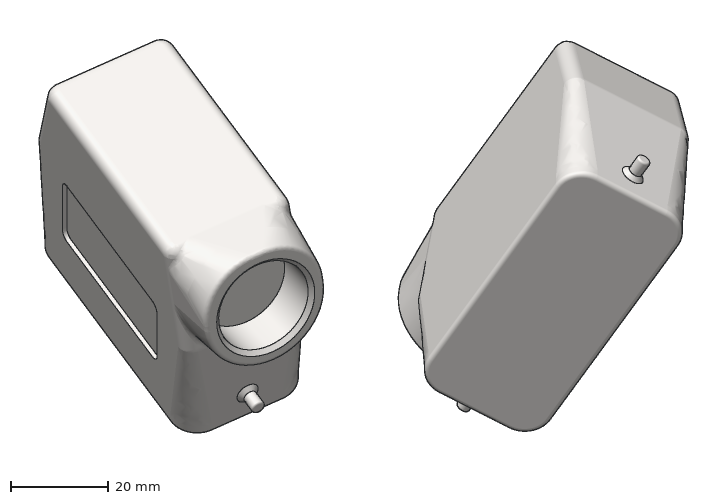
import cadquery as cq
import math

BODY_LENGTH = 62.75
BODY_WIDTH = 29.3
BODY_HEIGHT = 53.7
LEFT_SHOULDER_Z = 33.6
LEFT_SLOPE = 11.7
RIGHT_SHOULDER_Z = 28.3
RIGHT_SLOPE = 15.0
SHOULDER_RADIUS = 3.9
CORNER_RADIUS = 3.0
FOOT_CORNER_RADIUS = 6.25
FOOT_HEIGHT = 2.65
TOP_RADIUS = 2.5
BOTTOM_RADIUS = 1.0

POCKET_LENGTH = 38.95
POCKET_HEIGHT = 18.0
POCKET_CENTRE_Z = 22.6
POCKET_DEPTH = 1.0
POCKET_CORNER_RADIUS = 1.95

MOUTH_RADIUS = 13.9
MOUTH_OFFSET = 11.0
MOUTH_ALONG_SLOPE = 12.3
MOUTH_FLAT = 0.85
MOUTH_EDGE_RADIUS = 1.0
ENTRY_DRAFT = 2.5
ENTRY_SINK = 3.1
ENTRY_ROOT_CORNER = 5.5
ENTRY_BLEND_RADIUS = 1.6
SEAM_TOLERANCE = 0.001
SEAM_SAMPLES = (0.1, 0.5, 0.9)
BORE_RADIUS = 10.5
BORE_CHAMFER = 1.0

PIN_RADIUS = 1.5
PIN_TIP_X = 36.0
PIN_Z = 7.4
PIN_TIP_RADIUS = 0.5
PIN_COLLAR = 1.0

HALF_LENGTH = BODY_LENGTH / 2
HALF_WIDTH = BODY_WIDTH / 2


def corner_cutter(x_side, y_side, shoulder_z):
    """Material outside one upright corner, from the underside up to the shoulder."""

    def region(z, radius):
        x = x_side * HALF_LENGTH
        y = y_side * HALF_WIDTH
        inner_x = x - x_side * radius
        inner_y = y - y_side * radius
        bend = radius * (1 - math.sqrt(0.5))
        return (
            cq.Workplane("XY", origin=(0, 0, z))
            .moveTo(x, inner_y)
            .threePointArc((x - x_side * bend, y - y_side * bend), (inner_x, y))
            .lineTo(x, y)
            .close()
        )

    foot = region(0, FOOT_CORNER_RADIUS).extrude(FOOT_HEIGHT)
    wide_end = region(FOOT_HEIGHT, FOOT_CORNER_RADIUS).val()
    narrow_end = region(shoulder_z, CORNER_RADIUS).val()
    taper = cq.Workplane(cq.Solid.makeLoft([wide_end, narrow_end], True))
    return foot.union(taper)


def body():
    """Block with sloped ends, rounded edges and corners that widen towards the foot."""
    top_left = -HALF_LENGTH + (BODY_HEIGHT - LEFT_SHOULDER_Z) * math.tan(math.radians(LEFT_SLOPE))
    top_right = HALF_LENGTH - (BODY_HEIGHT - RIGHT_SHOULDER_Z) * math.tan(math.radians(RIGHT_SLOPE))
    block = (
        cq.Workplane("XZ", origin=(0, HALF_WIDTH, 0))
        .polyline([
            (-HALF_LENGTH, 0),
            (HALF_LENGTH, 0),
            (HALF_LENGTH, RIGHT_SHOULDER_Z),
            (top_right, BODY_HEIGHT),
            (top_left, BODY_HEIGHT),
            (-HALF_LENGTH, LEFT_SHOULDER_Z),
        ])
        .close()
        .extrude(BODY_WIDTH)
    )
    for x, z in ((-HALF_LENGTH, LEFT_SHOULDER_Z), (HALF_LENGTH, RIGHT_SHOULDER_Z)):
        block = block.edges(cq.selectors.NearestToPointSelector((x, 0, z))).fillet(SHOULDER_RADIUS)
    block = block.faces("<Y or >Y").edges("not |X").fillet(CORNER_RADIUS)
    block = block.faces(">Z").edges().fillet(TOP_RADIUS)
    for y_side in (-1, 1):
        block = block.cut(corner_cutter(-1, y_side, LEFT_SHOULDER_Z))
        block = block.cut(corner_cutter(1, y_side, RIGHT_SHOULDER_Z))
    return block.faces("<Z").edges().fillet(BOTTOM_RADIUS)


ENTRY_TILT = math.radians(RIGHT_SLOPE)
OUTWARD = (math.cos(ENTRY_TILT), 0, math.sin(ENTRY_TILT))
MOUTH_CENTRE = (
    HALF_LENGTH + MOUTH_OFFSET * math.cos(ENTRY_TILT) - MOUTH_ALONG_SLOPE * math.sin(ENTRY_TILT),
    0,
    RIGHT_SHOULDER_Z + MOUTH_OFFSET * math.sin(ENTRY_TILT) + MOUTH_ALONG_SLOPE * math.cos(ENTRY_TILT),
)
MOUTH_PLANE = cq.Plane(origin=MOUTH_CENTRE, xDir=(0, 1, 0), normal=OUTWARD)


def entry_outline(offset, radius, corner):
    """Round below, square above with rounded corners."""
    flat = radius - corner
    bend = flat + corner * math.sqrt(0.5)
    return (
        cq.Workplane(MOUTH_PLANE).workplane(offset=offset)
        .moveTo(-radius, 0)
        .threePointArc((0, -radius), (radius, 0))
        .lineTo(radius, flat)
        .threePointArc((bend, bend), (flat, radius))
        .lineTo(-flat, radius)
        .threePointArc((-bend, bend), (-radius, flat))
        .close()
        .val()
    )


def entry():
    """Drafted horn from a squared root inside the hood to the round mouth."""
    depth = MOUTH_OFFSET + ENTRY_SINK
    root_radius = MOUTH_RADIUS + depth * math.tan(math.radians(ENTRY_DRAFT))
    root = entry_outline(-depth, root_radius, ENTRY_ROOT_CORNER)
    mouth = entry_outline(0, MOUTH_RADIUS, MOUTH_RADIUS - MOUTH_FLAT)
    horn = cq.Workplane(cq.Solid.makeLoft([root, mouth], True))
    rim = horn.faces(cq.selectors.NearestToPointSelector(MOUTH_CENTRE)).edges()
    return rim.fillet(MOUTH_EDGE_RADIUS)


def bore():
    """Blind round bore from the mouth to the plane of the slope, with a chamfered rim."""
    hole = cq.Workplane(MOUTH_PLANE).circle(BORE_RADIUS).extrude(-MOUTH_OFFSET)
    countersink = cq.Workplane(
        cq.Solid.makeCone(
            BORE_RADIUS + BORE_CHAMFER,
            BORE_RADIUS,
            BORE_CHAMFER,
            pnt=cq.Vector(*MOUTH_CENTRE),
            dir=cq.Vector(*OUTWARD) * -1,
        )
    )
    return hole.union(countersink)


def pin():
    """Pin on the +X end with a conical collar against the wall."""
    collar_end = HALF_LENGTH + PIN_COLLAR
    profile = (
        cq.Workplane("XY")
        .moveTo(HALF_LENGTH - PIN_COLLAR, 0)
        .lineTo(HALF_LENGTH - PIN_COLLAR, PIN_RADIUS + PIN_COLLAR)
        .lineTo(HALF_LENGTH, PIN_RADIUS + PIN_COLLAR)
        .lineTo(collar_end, PIN_RADIUS)
        .lineTo(PIN_TIP_X, PIN_RADIUS)
        .lineTo(PIN_TIP_X, 0)
        .close()
    )
    shape = profile.revolve(360, (0, 0, 0), (1, 0, 0))
    return shape.faces(">X").edges().fillet(PIN_TIP_RADIUS).translate((0, 0, PIN_Z))


def label_pocket():
    """Shallow rectangular recess with rounded corners."""
    return (
        cq.Workplane("XZ", origin=(0, -HALF_WIDTH + POCKET_DEPTH, POCKET_CENTRE_Z))
        .rect(POCKET_LENGTH, POCKET_HEIGHT)
        .extrude(POCKET_DEPTH)
        .edges("|Y")
        .fillet(POCKET_CORNER_RADIUS)
    )


def joined(hood, horn):
    """Union of hood and entry with a fillet along the line where their surfaces meet."""
    hood_skin = hood.val().Shells()[0]
    horn_skin = horn.val().Shells()[0]

    def on_both_skins(edge):
        samples = [cq.Vertex.makeVertex(*point.toTuple()) for point in edge.positions(SEAM_SAMPLES)]
        return all(max(hood_skin.distance(p), horn_skin.distance(p)) < SEAM_TOLERANCE for p in samples)

    union = hood.union(horn)
    return union.edges().filter(on_both_skins).fillet(ENTRY_BLEND_RADIUS)


hood_with_entry = joined(body(), entry())
right_pin = pin()
result = (
    hood_with_entry
    .cut(bore())
    .cut(label_pocket())
    .union(right_pin)
    .union(right_pin.mirror("YZ"))
    .solids()
)